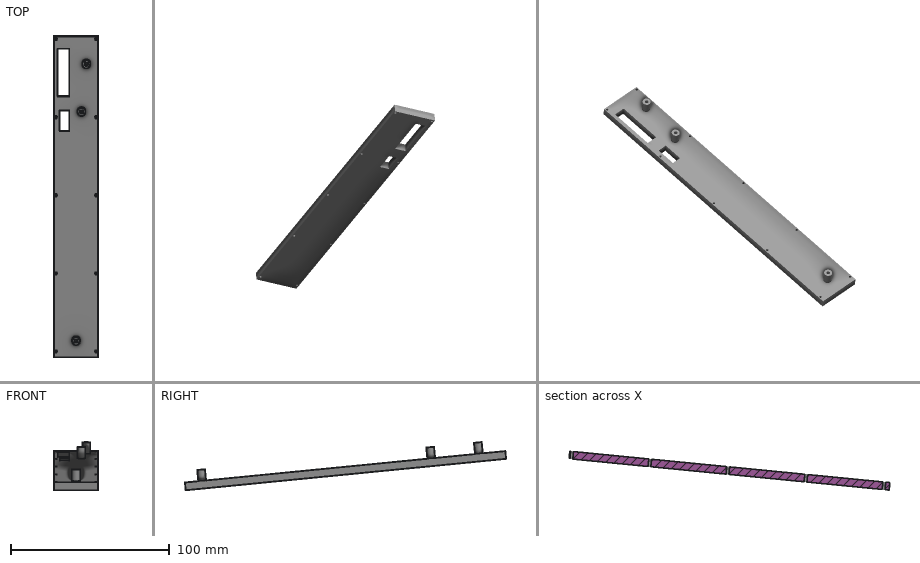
import cadquery as cq
import math

width = 28.0
overall_length = 202.5
thickness = 5.0
tilt_angle = 5.6
tilt = math.radians(tilt_angle)
plate_length = (overall_length - thickness * math.sin(tilt)) / math.cos(tilt)

post_diameter = 5.0
post_height = 7.0
post_bore_diameter = 2.2
post_places = [(6.5, 16.8), (3.5, 47.0), (0.0, 192.0)]

screw_diameter = 1.5
screw_edge_gap = 1.2
first_screw_from_back = 1.6
screw_pitch = 49.5
screw_rows = 5

windows_right = 9.7
long_window_left = 2.5
long_window_back = 7.7
long_window_front = 37.9
short_window_left = 3.6
short_window_back = 46.8
short_window_front = 60.0


def top_plane():
    """Workplane on the top of the untilted plate, centred on its width, at its back end."""
    return cq.Workplane("XY").workplane(offset=thickness).center(0, plate_length)


def make_plate():
    return cq.Workplane("XY").box(width, plate_length, thickness, centered=(True, False, False))


def cut_window(body, left, back, front):
    middle_x = (left + windows_right - width) / 2
    middle_y = -(back + front) / 2
    cutter = top_plane().center(middle_x, middle_y).rect(windows_right - left, front - back)
    return body.cut(cutter.extrude(-thickness))


def cut_screw_holes(body):
    """Rows of through holes close to both long edges."""
    hole_x = width / 2 - screw_edge_gap
    places = [
        (side * hole_x, -(first_screw_from_back + row * screw_pitch))
        for row in range(screw_rows)
        for side in (-1, 1)
    ]
    cutters = top_plane().pushPoints(places).circle(screw_diameter / 2).extrude(-thickness)
    return body.cut(cutters)


def add_posts(body):
    """Tubular posts, bored down to the plate surface."""
    places = [(x, -from_back) for x, from_back in post_places]
    posts = top_plane().pushPoints(places).circle(post_diameter / 2).extrude(post_height)
    bores = top_plane().pushPoints(places).circle(post_bore_diameter / 2).extrude(post_height)
    return body.union(posts.cut(bores))


result = make_plate()
result = cut_window(result, long_window_left, long_window_back, long_window_front)
result = cut_window(result, short_window_left, short_window_back, short_window_front)
result = cut_screw_holes(result)
result = add_posts(result)

front_overhang = thickness * math.sin(tilt)
result = result.rotate((0, 0, 0), (1, 0, 0), tilt_angle)
result = result.translate((0, front_overhang - overall_length / 2, 0))